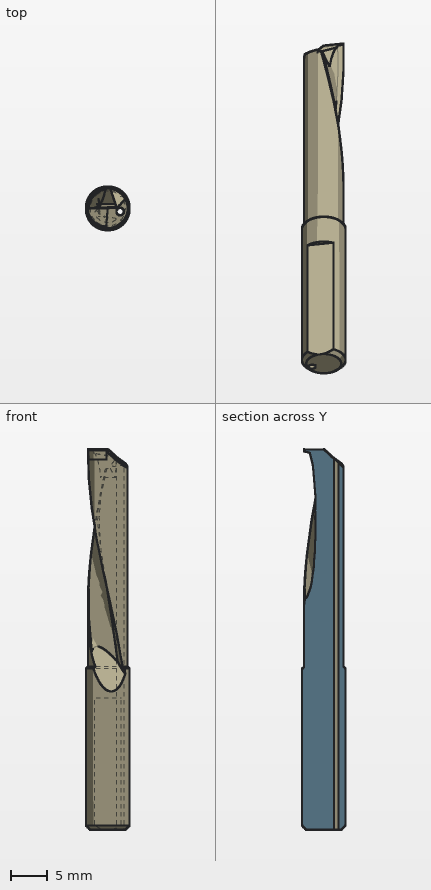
import cadquery as cq
import math

total_length = 52.0
shank_radius = 3.0
shank_length = 22.0
end_chamfer = 0.6
cutting_radius = 2.72
clearance = 5.0

flat_distance = 2.4
flat_length = 18.0

hole_diameter = 1.0
hole_x = 1.7
hole_y = -0.43

helix_pitch = 76.5
flute_bottom = 16.0
cutting_edge_angle = 180.0
rake_inner_radius = 1.95
rake_inner_angle = 177.0
floor_radius = 1.15
floor_angle = 134.0
heel_radius = 2.62
heel_angle = 84.0
heel_relief_angle = 80.0

runout_angle = 279.0
runout_z = 22.0
runout_distance = 1.93
runout_slope = 0.345

end_slope_y = 0.1
side_slope_x = -0.92
side_slope_y = 0.18
back_slope_x = -0.18
back_slope_y = -0.51
back_corner = (1.5, 0.31)
back_start_y = 0.05

gash_depth = 3.9
gash_root_y = 0.63
gash_floor_rise = 1.6
gash_wall_bottom = (1.06, 0.57)
gash_wall_top = (0.36, 2.66)

step_height = 1.45
step_depth = 0.25
step_start_angle = 204.0
step_end_angle = 266.0


def polar(radius, degrees):
    angle = math.radians(degrees)
    return (radius * math.cos(angle), radius * math.sin(angle))


def space_beyond(point, normal):
    """Large block lying on the outer side of a plane."""
    size = 4 * total_length
    return cq.Workplane(cq.Plane(origin=point, normal=normal)).rect(size, size).extrude(size)


def space_above(point, slope_x, slope_y):
    """Large block above a plane with the given slopes."""
    return space_beyond(point, (-slope_x, -slope_y, 1.0))


def make_blank():
    step = shank_radius - cutting_radius
    profile = [
        (0, 0),
        (shank_radius - end_chamfer, 0),
        (shank_radius, end_chamfer),
        (shank_radius, shank_length),
        (cutting_radius, shank_length + step),
        (cutting_radius, total_length),
        (0, total_length),
    ]
    return cq.Workplane("XZ").polyline(profile).close().revolve(360, (0, 0), (0, 1))


def make_shank_flat():
    width = 2 * shank_radius
    flat = cq.Workplane("XY").box(2 * width, width, flat_length, centered=(True, False, False))
    return flat.translate((0, flat_distance, 0))


def make_flute():
    height = total_length - flute_bottom
    twist = 360.0 * height / helix_pitch
    outer_radius = cutting_radius + clearance

    def section_point(radius, tip_angle):
        return polar(radius, tip_angle + twist)

    section = (
        cq.Workplane("XY", origin=(0, 0, flute_bottom))
        .moveTo(*section_point(outer_radius, cutting_edge_angle))
        .lineTo(*section_point(rake_inner_radius, rake_inner_angle))
        .threePointArc(
            section_point(floor_radius, floor_angle),
            section_point(heel_radius, heel_angle),
        )
        .lineTo(*section_point(cutting_radius, heel_relief_angle))
        .lineTo(*section_point(outer_radius, heel_relief_angle))
        .lineTo(*section_point(outer_radius, (heel_relief_angle + cutting_edge_angle) / 2))
        .close()
    )
    runout_x, runout_y = polar(1.0, runout_angle)
    runout_point = (runout_x * runout_distance, runout_y * runout_distance, runout_z)
    runout_space = space_beyond(runout_point, (runout_x, runout_y, runout_slope))
    return section.twistExtrude(height, -twist).intersect(runout_space)


def make_gash():
    root_z = total_length - gash_depth
    outer_y = cutting_radius + clearance
    floor_slope = gash_floor_rise / cutting_radius
    side_profile = [
        (0, total_length),
        (gash_root_y, root_z),
        (outer_y, root_z + floor_slope * (outer_y - gash_root_y)),
        (outer_y, total_length + clearance),
        (0, total_length + clearance),
    ]
    gash = cq.Workplane("YZ").polyline(side_profile).close().extrude(outer_y, both=True)
    wall_x = gash_wall_top[0] - gash_wall_bottom[0]
    wall_y = gash_wall_top[1] - gash_wall_bottom[1]
    wall_point = (*gash_wall_bottom, root_z)
    return gash.cut(space_beyond(wall_point, (wall_y, -wall_x, 0)))


def cut_end_faces(body):
    tip = (0, 0, total_length)
    body = body.cut(space_above(tip, 0, end_slope_y))
    body = body.cut(space_above(tip, side_slope_x, side_slope_y))
    corner_x, corner_y = back_corner
    corner_z = total_length + side_slope_x * corner_x + side_slope_y * corner_y
    back_face = space_above((corner_x, corner_y, corner_z), back_slope_x, back_slope_y)
    back_half = space_beyond((0, back_start_y, 0), (0, 1, 0))
    return body.cut(back_face.intersect(back_half))


def make_tip_step():
    """Crescent that deepens from nothing to a step around the tip."""
    middle_angle = (step_start_angle + step_end_angle) / 2
    outer_radius = cutting_radius + clearance
    return (
        cq.Workplane("XY", origin=(0, 0, total_length - step_height))
        .moveTo(*polar(cutting_radius, step_start_angle))
        .threePointArc(
            polar(cutting_radius - step_depth / 2, middle_angle),
            polar(cutting_radius - step_depth, step_end_angle),
        )
        .lineTo(*polar(outer_radius, step_end_angle))
        .lineTo(*polar(outer_radius, step_start_angle))
        .close()
        .extrude(step_height + clearance)
    )


def make_coolant_hole():
    return cq.Workplane("XY").center(hole_x, hole_y).circle(hole_diameter / 2).extrude(total_length)


result = make_blank().cut(make_shank_flat()).cut(make_flute())
result = cut_end_faces(result.cut(make_gash()))
result = result.cut(make_tip_step()).cut(make_coolant_hole())